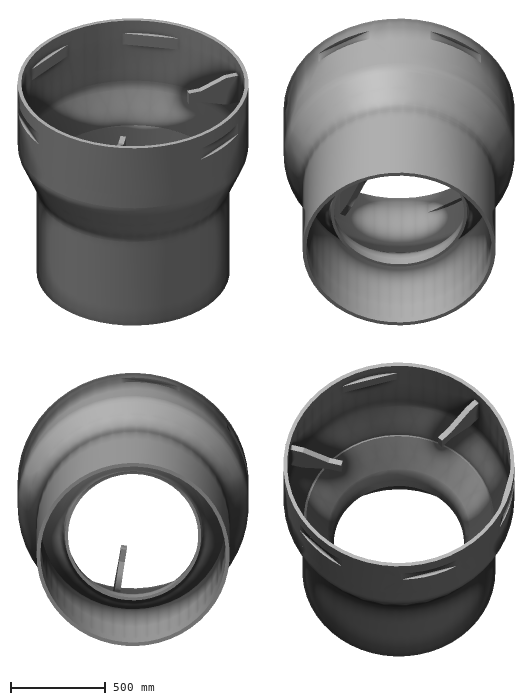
import cadquery as cq
import math

TOTAL_HEIGHT = 1200.0
WALL = 20.0
UPPER_RADIUS = 1220.0 / 2
LOWER_RADIUS = 1020.0 / 2
UPPER_BORE_RADIUS = UPPER_RADIUS - WALL
LOWER_BORE_RADIUS = LOWER_RADIUS - WALL

RING_HEIGHT = 300.0
RING_BOTTOM = TOTAL_HEIGHT - RING_HEIGHT

CONE_ANGLE = math.radians(25.0)
SHOULDER_TOP = 817.0
NECK_BOTTOM = 534.0
TIGHT_BEND_RADIUS = 115.0
WIDE_BEND_RADIUS = TIGHT_BEND_RADIUS + WALL

RECESS_ANGLES = (0.0, 120.0, 180.0, 240.0)
RECESS_TOP = 1120.0
RECESS_HEIGHT = 70.0
RECESS_DEPTH = 20.0

FIN_ANGLES = (60.0, -60.0)
FIN_THICKNESS = 30.0
FIN_LENGTH = 280.0
FIN_FLAT = 70.0
FIN_TOP = 1120.0
FIN_ROOT_HEIGHT = 170.0
FIN_TIP_HEIGHT = 70.0

FUNNEL_WALL = 16.0
SPOUT_BORE_RADIUS = 698.0 / 2
SPOUT_TIP_INSET = 5.0
SPOUT_LENGTH = 50.0
FUNNEL_ANGLE = math.radians(36.0)
FUNNEL_RIM_BORE_RADIUS = 489.4
FUNNEL_TOP = 600.0
FUNNEL_BEND_RADIUS = 135.0


def bend_point(center, radius, angle):
    """Point on a bend, with the angle measured upwards from the +X direction."""
    return (center[0] + radius * math.cos(angle), center[1] + radius * math.sin(angle))


def build_recess_block(flat_distance, angle):
    """Block that lies outside a flat, across the ring wall, at the recess height."""
    return (
        cq.Workplane("XY", origin=(0, 0, RECESS_TOP - RECESS_HEIGHT))
        .transformed(rotate=(0, 0, angle))
        .center(flat_distance + UPPER_RADIUS / 2, 0)
        .rect(UPPER_RADIUS, 2 * UPPER_RADIUS)
        .extrude(RECESS_HEIGHT)
    )


def build_ring():
    """Ring whose wall steps inwards as a flat panel at each recess."""
    ring = (
        cq.Workplane("XY", origin=(0, 0, RING_BOTTOM))
        .circle(UPPER_RADIUS)
        .circle(UPPER_BORE_RADIUS)
        .extrude(RING_HEIGHT)
    )
    disc = (
        cq.Workplane("XY", origin=(0, 0, RECESS_TOP - RECESS_HEIGHT))
        .circle(UPPER_RADIUS)
        .extrude(RECESS_HEIGHT)
    )
    outer_flat = UPPER_RADIUS - RECESS_DEPTH
    for angle in RECESS_ANGLES:
        panel = disc.intersect(build_recess_block(outer_flat - WALL, angle))
        ring = ring.union(panel).cut(build_recess_block(outer_flat, angle))
    return ring


def build_reducer():
    """Collar, cone and tail pipe, of one wall thickness, as one revolved body."""
    shoulder_center = (UPPER_RADIUS - WIDE_BEND_RADIUS, SHOULDER_TOP)
    neck_center = (LOWER_RADIUS + TIGHT_BEND_RADIUS, NECK_BOTTOM)

    def shoulder(radius, angle):
        return bend_point(shoulder_center, radius, -angle)

    def neck(radius, angle):
        return bend_point(neck_center, radius, math.pi - angle)

    half = CONE_ANGLE / 2
    profile = (
        cq.Workplane("XZ")
        .moveTo(LOWER_RADIUS, 0)
        .lineTo(*neck(TIGHT_BEND_RADIUS, 0))
        .threePointArc(neck(TIGHT_BEND_RADIUS, half), neck(TIGHT_BEND_RADIUS, CONE_ANGLE))
        .lineTo(*shoulder(WIDE_BEND_RADIUS, CONE_ANGLE))
        .threePointArc(shoulder(WIDE_BEND_RADIUS, half), shoulder(WIDE_BEND_RADIUS, 0))
        .lineTo(UPPER_RADIUS, RING_BOTTOM)
        .lineTo(UPPER_BORE_RADIUS, RING_BOTTOM)
        .lineTo(*shoulder(TIGHT_BEND_RADIUS, 0))
        .threePointArc(shoulder(TIGHT_BEND_RADIUS, half), shoulder(TIGHT_BEND_RADIUS, CONE_ANGLE))
        .lineTo(*neck(WIDE_BEND_RADIUS, CONE_ANGLE))
        .threePointArc(neck(WIDE_BEND_RADIUS, half), neck(WIDE_BEND_RADIUS, 0))
        .lineTo(LOWER_BORE_RADIUS, 0)
        .close()
    )
    return profile.revolve(360, (0, 0, 0), (0, 1, 0))


def build_funnel():
    """Conical mouth with a square-cut rim, bent into a short, slightly tapered spout."""
    cos_a = math.cos(FUNNEL_ANGLE)
    sin_a = math.sin(FUNNEL_ANGLE)
    bend_center_x = SPOUT_BORE_RADIUS + FUNNEL_BEND_RADIUS
    cone_start_x = bend_center_x - FUNNEL_BEND_RADIUS * cos_a
    cone_rise = (FUNNEL_RIM_BORE_RADIUS - cone_start_x) / math.tan(FUNNEL_ANGLE)
    bend_center = (bend_center_x, FUNNEL_TOP - cone_rise - FUNNEL_BEND_RADIUS * sin_a)
    spout_bottom = bend_center[1] - SPOUT_LENGTH
    spout_tip_bore_radius = SPOUT_BORE_RADIUS - SPOUT_TIP_INSET
    outer_bend_radius = FUNNEL_BEND_RADIUS - FUNNEL_WALL

    def bend(radius, angle):
        return bend_point(bend_center, radius, math.pi - angle)

    half = FUNNEL_ANGLE / 2
    profile = (
        cq.Workplane("XZ")
        .moveTo(spout_tip_bore_radius, spout_bottom)
        .lineTo(*bend(FUNNEL_BEND_RADIUS, 0))
        .threePointArc(bend(FUNNEL_BEND_RADIUS, half), bend(FUNNEL_BEND_RADIUS, FUNNEL_ANGLE))
        .lineTo(FUNNEL_RIM_BORE_RADIUS, FUNNEL_TOP)
        .lineTo(FUNNEL_RIM_BORE_RADIUS + FUNNEL_WALL * cos_a, FUNNEL_TOP - FUNNEL_WALL * sin_a)
        .lineTo(*bend(outer_bend_radius, FUNNEL_ANGLE))
        .threePointArc(bend(outer_bend_radius, half), bend(outer_bend_radius, 0))
        .lineTo(spout_tip_bore_radius + FUNNEL_WALL, spout_bottom)
        .close()
    )
    return profile.revolve(360, (0, 0, 0), (0, 1, 0))


def build_fin(angle):
    """Radial plate that tapers towards its tip and fits the ring bore at its root."""
    tip = UPPER_BORE_RADIUS - FIN_LENGTH
    root = UPPER_BORE_RADIUS
    step = (FIN_ROOT_HEIGHT - FIN_TIP_HEIGHT) / 2
    bottom = FIN_TOP - FIN_ROOT_HEIGHT
    plate = (
        cq.Workplane("XZ")
        .moveTo(tip, FIN_TOP - step)
        .lineTo(tip + FIN_FLAT, FIN_TOP - step)
        .lineTo(root - FIN_FLAT, FIN_TOP)
        .lineTo(root, FIN_TOP)
        .lineTo(root, bottom)
        .lineTo(root - FIN_FLAT, bottom)
        .lineTo(tip + FIN_FLAT, bottom + step)
        .lineTo(tip, bottom + step)
        .close()
        .extrude(FIN_THICKNESS / 2, both=True)
    )
    bore = cq.Workplane("XY").circle(UPPER_BORE_RADIUS).extrude(TOTAL_HEIGHT)
    return plate.intersect(bore).rotate((0, 0, 0), (0, 0, 1), angle)


ring = build_ring()
reducer = build_reducer()
funnel = build_funnel()
fins = [build_fin(angle) for angle in FIN_ANGLES]

bodies = [ring, reducer, funnel, *fins]
result = cq.Compound.makeCompound([body.solids().val() for body in bodies])